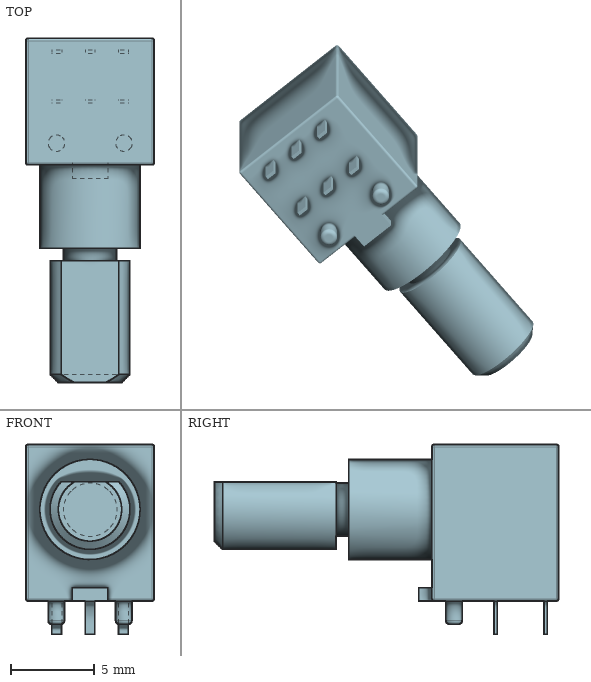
import cadquery as cq

body_width = 7.7
body_depth = 7.6
body_height = 9.4
body_edge_radius = 0.15

overall_length = 20.65
axis_height = 5.5
bushing_diameter = 6.0
bushing_length = 5.0
neck_diameter = 3.2
neck_length = 0.75
shaft_diameter = 4.8
shaft_length = overall_length - body_depth - bushing_length - neck_length
shaft_chamfer = 0.5
flat_offset = 1.65

tab_width = 2.1
tab_height = 0.8
tab_length = 0.8

peg_diameter = 1.0
peg_length = 1.4
peg_tip_radius = 0.25
peg_offset = 2.02
peg_setback = 1.32

pin_width = 0.6
pin_thickness = 0.2
pin_length = 2.0
pin_pitch = 2.0
rear_row_inset = 0.78
row_spacing = 3.0

embed = 0.41


def make_housing():
    block = cq.Workplane("XY").box(body_width, body_depth, body_height, centered=(True, False, False))
    return block.edges().fillet(body_edge_radius)


def axial_cylinder(diameter, start, length):
    """Cylinder on the shaft axis, running towards -Y from a distance ahead of the housing."""
    plane = cq.Workplane("XZ", origin=(0, -start, axis_height))
    return plane.circle(diameter / 2).extrude(length)


def make_shaft():
    start = bushing_length + neck_length
    shaft = axial_cylinder(shaft_diameter, start, shaft_length)
    shaft = shaft.faces("<Y").chamfer(shaft_chamfer)
    cutter = cq.Workplane("XY", origin=(0, -start, axis_height + flat_offset)).box(
        shaft_diameter, 2 * shaft_length, shaft_diameter, centered=(True, True, False)
    )
    return shaft.cut(cutter)


def make_tab():
    tab = cq.Workplane("XY").box(tab_width, tab_length + embed, tab_height, centered=(True, False, False))
    return tab.translate((0, -tab_length, 0))


def make_peg(x):
    peg = cq.Workplane("XY", origin=(x, peg_setback, -peg_length))
    peg = peg.circle(peg_diameter / 2).extrude(peg_length + embed)
    return peg.faces("<Z").edges().fillet(peg_tip_radius)


def make_pin(x, y):
    pin = cq.Workplane("XY", origin=(x, y, -pin_length))
    return pin.rect(pin_width, pin_thickness).extrude(pin_length + embed)


result = make_housing()
result = result.union(axial_cylinder(bushing_diameter, 0, bushing_length))
result = result.union(axial_cylinder(neck_diameter, bushing_length, neck_length))
result = result.union(make_shaft())
result = result.union(make_tab())

for side in (-1, 1):
    result = result.union(make_peg(side * peg_offset))

rear_row_y = body_depth - rear_row_inset
for row_y in (rear_row_y, rear_row_y - row_spacing):
    for column in (-1, 0, 1):
        result = result.union(make_pin(column * pin_pitch, row_y))